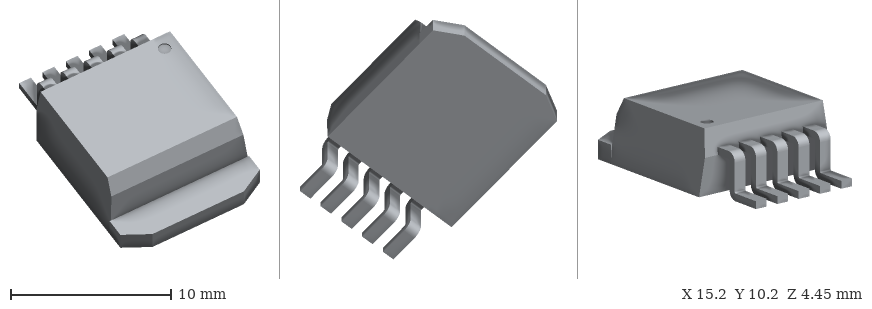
import cadquery as cq


total_length = 15.24
total_width = 10.16
total_height = 4.45

body_bottom_front = 4.13
body_parting_front = 3.81
body_top_front = 4.05
body_rear = 12.97
body_shoulder_rear = 12.73
body_top_rear = 12.11
parting_height = 2.61
shoulder_height = 3.28
side_inset = 0.365

tab_thickness = 1.27
tab_corner_length = 0.98
tab_corner_width = 1.75

lead_count = 5
lead_pitch = 1.7
lead_width = 0.85
lead_thickness = 0.51
inner_bend_radius = 0.1
outer_bend_radius = inner_bend_radius + lead_thickness
lead_riser_rear = 2.65
lead_embed = 0.5

mark_radius = 0.42
mark_depth = 0.1
mark_x = 5.07
mark_y = 3.7


def make_body():
    """Side profile of the body, trimmed by the two leaning side faces."""
    half_width = total_width / 2
    half_top_width = half_width - side_inset
    profile = (
        cq.Workplane("XZ")
        .moveTo(body_bottom_front, 0)
        .lineTo(body_rear, 0)
        .lineTo(body_rear, tab_thickness)
        .lineTo(body_shoulder_rear, shoulder_height)
        .lineTo(body_top_rear, total_height)
        .lineTo(body_top_front, total_height)
        .lineTo(body_parting_front, parting_height)
        .close()
        .extrude(half_width, both=True)
    )
    cross_section = (
        cq.Workplane("YZ")
        .moveTo(-half_width, 0)
        .lineTo(half_width, 0)
        .lineTo(half_top_width, total_height)
        .lineTo(-half_top_width, total_height)
        .close()
        .extrude(total_length)
    )
    return profile.intersect(cross_section)


def make_tab():
    """Flat tab behind the body with its two outer corners cut off."""
    half_width = total_width / 2
    half_end_width = half_width - tab_corner_width
    corner_start = total_length - tab_corner_length
    return (
        cq.Workplane("XY")
        .moveTo(body_rear, -half_width)
        .lineTo(corner_start, -half_width)
        .lineTo(total_length, -half_end_width)
        .lineTo(total_length, half_end_width)
        .lineTo(corner_start, half_width)
        .lineTo(body_rear, half_width)
        .close()
        .extrude(tab_thickness)
    )


def make_lead(y_center):
    """One gull-wing lead: foot, vertical leg and shelf entering the body."""
    riser_front = lead_riser_rear - lead_thickness
    lead_end = body_parting_front + lead_embed
    lead_bottom = parting_height
    lead_top = lead_bottom + lead_thickness
    blank = (
        cq.Workplane("XZ", origin=(0, y_center, 0))
        .moveTo(0, 0)
        .lineTo(lead_riser_rear, 0)
        .lineTo(lead_riser_rear, lead_bottom)
        .lineTo(lead_end, lead_bottom)
        .lineTo(lead_end, lead_top)
        .lineTo(riser_front, lead_top)
        .lineTo(riser_front, lead_thickness)
        .lineTo(0, lead_thickness)
        .close()
        .extrude(lead_width / 2, both=True)
    )

    def bend_edge(x, z):
        return cq.selectors.NearestToPointSelector((x, y_center, z))

    return (
        blank
        .edges(bend_edge(lead_riser_rear, 0)).fillet(outer_bend_radius)
        .edges(bend_edge(riser_front, lead_top)).fillet(outer_bend_radius)
        .edges(bend_edge(riser_front, lead_thickness)).fillet(inner_bend_radius)
        .edges(bend_edge(lead_riser_rear, lead_bottom)).fillet(inner_bend_radius)
    )


def make_pin_one_mark():
    """Shallow round recess in the top face beside the first lead."""
    return (
        cq.Workplane("XY", origin=(mark_x, mark_y, total_height - mark_depth))
        .circle(mark_radius)
        .extrude(mark_depth)
    )


package = make_body().union(make_tab())
for index in range(lead_count):
    lead_y = (index - (lead_count - 1) / 2) * lead_pitch
    package = package.union(make_lead(lead_y))

result = package.cut(make_pin_one_mark())